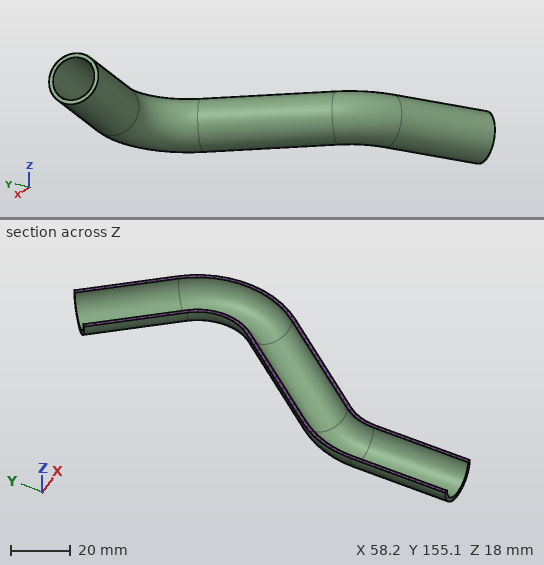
import cadquery as cq
import math

outer_diameter = 18.0
bore_diameter = 15.0

bend_radius = 27.0
bend_angle = 38.5
first_length = 35.8
middle_length = 45.7
last_length = 35.2

sine = math.sin(math.radians(bend_angle))
cosine = math.cos(math.radians(bend_angle))
half_sine = math.sin(math.radians(bend_angle / 2))
half_cosine = math.cos(math.radians(bend_angle / 2))


def offset(point, dx, dy):
    """Return the point moved by dx and dy."""
    return (point[0] + dx, point[1] + dy)


start = (0, 0)
first_bend_start = offset(start, 0, first_length)
first_bend_middle = offset(first_bend_start, bend_radius * (1 - half_cosine), bend_radius * half_sine)
first_bend_end = offset(first_bend_start, bend_radius * (1 - cosine), bend_radius * sine)
second_bend_start = offset(first_bend_end, middle_length * sine, middle_length * cosine)
second_bend_middle = offset(second_bend_start, bend_radius * (1 - cosine), bend_radius * sine)
second_bend_end = offset(second_bend_start, 0, 2 * bend_radius * sine)
finish = offset(second_bend_end, -last_length * sine, last_length * cosine)

centreline = (
    cq.Workplane("XY")
    .moveTo(*start)
    .lineTo(*first_bend_start)
    .threePointArc(first_bend_middle, first_bend_end)
    .lineTo(*second_bend_start)
    .threePointArc(second_bend_middle, second_bend_end)
    .lineTo(*finish)
)

result = (
    cq.Workplane("XZ")
    .circle(outer_diameter / 2)
    .circle(bore_diameter / 2)
    .sweep(centreline)
)